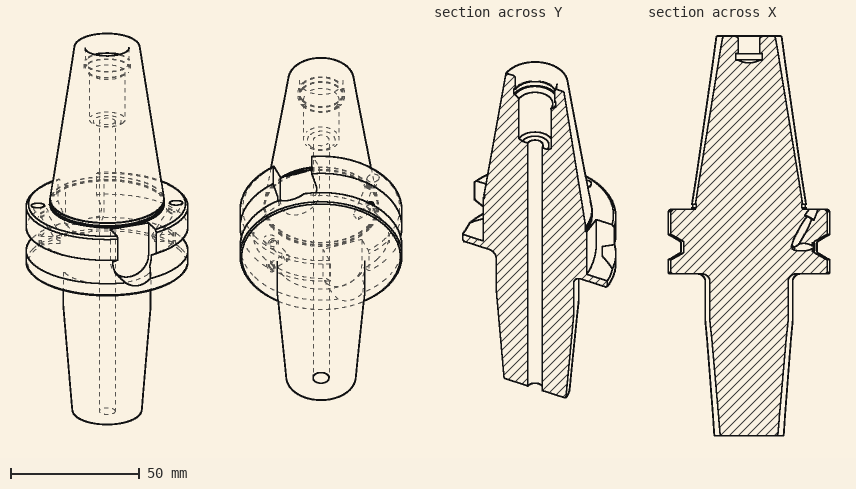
import cadquery as cq
import math

total_height = 155.4
gauge_height = 90.0
flange_top = 88.1
flange_bottom = 63.0
groove_height = 73.3
nose_cone_top = 44.6

gauge_radius = 22.2
taper_slope = 7 / 48
taper_edge = 0.8
relief_depth = 0.3
relief_width = 1.2

flange_radius = 63.0 / 2
flange_chamfer = 1.0
rim_chamfer = 0.6
groove_floor_radius = 53.0 / 2
groove_half_width = 5.0
groove_wall_angle = math.radians(30)
groove_fillet = 0.6

body_radius = 34.0 / 2
nose_radius = 27.0 / 2
root_fillet = 3.0
nose_fillet = 0.8

mouth_fillet = 1.0
counterbore_radius = 8.5
counterbore_depth = 9.3
ring_groove_depth = 0.5
ring_groove_top = 6.8
thread_radius = 13.8 / 2
thread_depth = 31.1
seat_radius = 5.5
seat_angle = math.radians(30)
through_radius = 3.1

slot_width = 16.2
slot_floor = 22.5
slot_bottom = 66.5

hole_azimuth = 20.0
channel_mouth_radius = 2.2
channel_radius = 1.4
inlet_offset = 26.9
inlet_tilt = math.radians(30)
inlet_mouth_depth = 4.0
outlet_mouth_depth = 0.8
drill_lead = 1.5


def body():
    """Solid of revolution: taper, relief groove, grooved flange and nose."""
    taper_top_radius = gauge_radius - taper_slope * (total_height - gauge_height)
    wall_rise = (flange_radius - groove_floor_radius) * math.tan(groove_wall_angle)
    floor_half_width = groove_half_width - wall_rise
    relief_radius = gauge_radius - relief_depth
    profile = (
        cq.Workplane("XZ")
        .lineTo(nose_radius, 0)
        .lineTo(body_radius, nose_cone_top)
        .lineTo(body_radius, flange_bottom - root_fillet)
        .radiusArc((body_radius + root_fillet, flange_bottom), root_fillet)
        .lineTo(flange_radius - rim_chamfer, flange_bottom)
        .lineTo(flange_radius, flange_bottom + rim_chamfer)
        .lineTo(flange_radius, groove_height - groove_half_width)
        .lineTo(groove_floor_radius, groove_height - floor_half_width)
        .lineTo(groove_floor_radius, groove_height + floor_half_width)
        .lineTo(flange_radius, groove_height + groove_half_width)
        .lineTo(flange_radius, flange_top - flange_chamfer)
        .lineTo(flange_radius - flange_chamfer, flange_top)
        .lineTo(gauge_radius, flange_top)
        .lineTo(gauge_radius, gauge_height - relief_width)
        .lineTo(relief_radius, gauge_height - relief_width)
        .lineTo(relief_radius, gauge_height)
        .lineTo(gauge_radius, gauge_height)
        .lineTo(taper_top_radius, total_height)
        .lineTo(0, total_height)
        .close()
    )
    solid = profile.revolve(360, (0, 0, 0), (0, 1, 0))
    solid = solid.faces(">Z").edges().fillet(taper_edge)
    solid = solid.faces("<Z").edges().fillet(nose_fillet)
    reach = (groove_half_width + floor_half_width) / 2
    floor_corners = cq.selectors.BoxSelector(
        (-flange_radius, -flange_radius, groove_height - reach),
        (flange_radius, flange_radius, groove_height + reach),
    )
    return solid.edges("%CIRCLE").edges(floor_corners).fillet(groove_fillet)


def bore():
    """Stepped bore along the whole axis with a ring groove and a rounded mouth."""
    ring_groove_radius = counterbore_radius + ring_groove_depth
    thread_start = counterbore_depth + counterbore_radius - thread_radius
    seat_depth = thread_depth + (thread_radius - seat_radius) * math.tan(seat_angle)
    profile = (
        cq.Workplane("XZ")
        .lineTo(through_radius, 0)
        .lineTo(through_radius, total_height - seat_depth)
        .lineTo(seat_radius, total_height - seat_depth)
        .lineTo(thread_radius, total_height - thread_depth)
        .lineTo(thread_radius, total_height - thread_start)
        .lineTo(counterbore_radius, total_height - counterbore_depth)
        .lineTo(ring_groove_radius, total_height - counterbore_depth)
        .lineTo(ring_groove_radius, total_height - ring_groove_top)
        .lineTo(counterbore_radius, total_height - ring_groove_top)
        .lineTo(counterbore_radius, total_height - mouth_fillet)
        .radiusArc((counterbore_radius + mouth_fillet, total_height), mouth_fillet)
        .lineTo(0, total_height)
        .close()
    )
    return profile.revolve(360, (0, 0, 0), (0, 1, 0))


def drive_slot():
    """Round-bottomed slot on the -X side of the flange."""
    half_width = slot_width / 2
    return (
        cq.Workplane("YZ", origin=(-flange_radius, 0, 0))
        .moveTo(-half_width, flange_top)
        .lineTo(-half_width, slot_bottom + half_width)
        .threePointArc((0, slot_bottom), (half_width, slot_bottom + half_width))
        .lineTo(half_width, flange_top)
        .close()
        .extrude(flange_radius - slot_floor)
    )


def drilled(radius, depth, start, direction):
    """Cylinder from start along direction, with a short lead outside the part."""
    origin = start - direction * drill_lead
    return cq.Workplane(cq.Solid.makeCylinder(radius, depth + drill_lead, origin, direction))


def coolant_channel():
    """Inclined inlet in the flange top on the -Y side, meeting a radial outlet in the groove floor."""
    inlet = cq.Vector(0, -inlet_offset, flange_top)
    inlet_direction = cq.Vector(0, math.sin(inlet_tilt), -math.cos(inlet_tilt))
    inlet_length = (flange_top - groove_height) / math.cos(inlet_tilt)
    meeting = inlet + inlet_direction * inlet_length
    outlet = cq.Vector(0, -groove_floor_radius, groove_height)
    outlet_direction = cq.Vector(0, 1, 0)
    outlet_length = meeting.y - outlet.y
    return (
        drilled(channel_mouth_radius, inlet_mouth_depth, inlet, inlet_direction)
        .union(drilled(channel_radius, inlet_length, inlet, inlet_direction))
        .union(drilled(channel_mouth_radius, outlet_mouth_depth, outlet, outlet_direction))
        .union(drilled(channel_radius, outlet_length, outlet, outlet_direction))
        .rotate((0, 0, 0), (0, 0, 1), -hole_azimuth)
    )


result = body().cut(bore())
for turn in (0, 180):
    for feature in (drive_slot(), coolant_channel()):
        result = result.cut(feature.rotate((0, 0, 0), (0, 0, 1), turn))